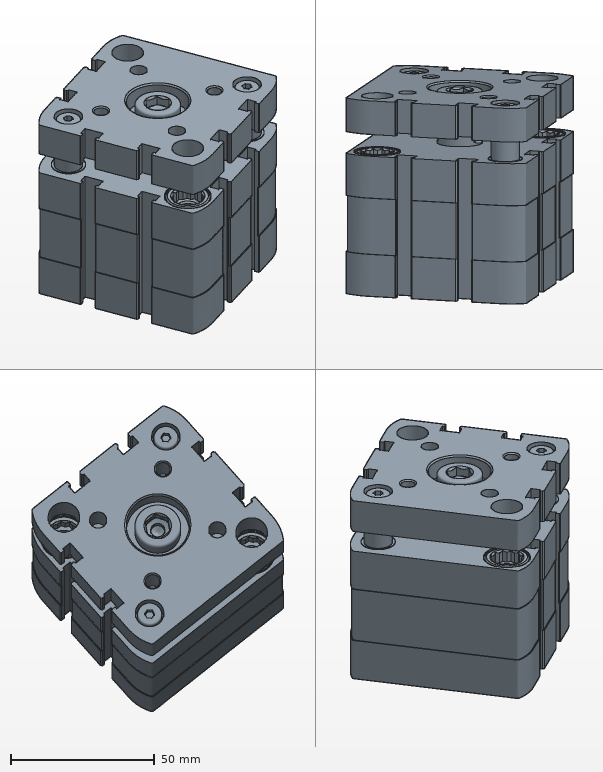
import cadquery as cq
import math


total_height = 69.7
housing_height = 50.0
cap_height = 15.0
plate_thickness = 12.0
plate_bottom = total_height - plate_thickness

half_width = 32.75
bulge_start = 23.3
bulge_radius = 17.4
corner_fillet = 1.0
barrel_inset = 0.35

slot_offset = 11.1
slot_opening = 5.3
slot_cavity_width = 7.0
slot_depth = 5.0
lip_thickness = 1.75
inner_lip_chamfer = 0.5
outer_lip_chamfer = 0.3

corner_offset = 23.3
guide_corners = [(-corner_offset, -corner_offset), (corner_offset, corner_offset)]
screw_corners = [(-corner_offset, corner_offset), (corner_offset, -corner_offset)]

rod_diameter = 16.0
rod_bottom = cap_height
wrench_flat_width = 12.95
wrench_flat_bottom = 51.2
wrench_flat_slope = 30.0
head_top = total_height - 1.0
head_fillet = 0.9
socket_width = 8.0
socket_depth = 3.6
socket_rim_diameter = 9.55
socket_cone_diameter = 8.6
socket_cone_depth = 0.85
pilot_diameter = 4.95
pilot_depth = 2.1
drill_tip_angle = 120.0

bore_diameter = 22.0
bore_depth = 7.0
bore_chamfer = 0.55
access_hole_diameter = 11.0
mount_offset = 14.8
dowel_diameter = 6.0
thread_diameter = 5.0
thread_chamfer = (dowel_diameter - thread_diameter) / 2

guide_diameter = 10.0
guide_bottom = cap_height
counterbore_depth = 5.6
guide_head_diameter = 8.5
guide_head_fillet = 0.6
guide_head_drop = 0.8
guide_socket_width = 3.0
guide_socket_depth = 2.1
guide_socket_turn = -45.0

wiper_diameter = 12.0
wiper_depth = 0.2
ring_outer_diameter = 16.4
ring_inner_diameter = 15.5
ring_chamfer = 0.55
double_hex_width = 10.0
double_hex_depth = 4.6
socket_mouth_diameter = 12.0
socket_mouth_depth = 0.7
through_diameter = 6.6
through_chamfer = 0.6


def cylinder(diameter, bottom, top, places=((0, 0),)):
    """Upright cylinders between two levels at the given places."""
    plane = cq.Workplane("XY").workplane(offset=bottom)
    return plane.pushPoints(places).circle(diameter / 2).extrude(top - bottom)


def cone(bottom_diameter, top_diameter, bottom, top, places=((0, 0),)):
    """Upright truncated cones between two levels at the given places."""
    frustum = cq.Solid.makeCone(bottom_diameter / 2, top_diameter / 2, top - bottom)
    cones = [frustum.moved(cq.Location(cq.Vector(x, y, bottom))) for x, y in places]
    return cq.Workplane("XY").newObject(cones).combine()


def hex_prism(width, bottom, top, turn=0.0, place=(0, 0)):
    """Upright hexagonal prism of the given width across flats, with a corner on +X before turning."""
    prism = cq.Workplane("XY").polygon(6, width / math.cos(math.pi / 6)).extrude(top - bottom)
    return prism.rotate((0, 0, 0), (0, 0, 1), turn).translate((place[0], place[1], bottom))


def outline():
    """Block cross-section before its corners are rounded, symmetric about both axes."""
    center_x = half_width - bulge_radius
    end_angle = math.asin((half_width - bulge_start) / bulge_radius)

    def arc_point(angle):
        return (center_x + bulge_radius * math.cos(angle), bulge_start + bulge_radius * math.sin(angle))

    mid_x, mid_y = arc_point(end_angle / 2)
    end_x, end_y = arc_point(end_angle)
    return (
        cq.Workplane("XY")
        .moveTo(half_width, -bulge_start)
        .lineTo(half_width, bulge_start)
        .threePointArc((mid_x, mid_y), (end_x, end_y))
        .lineTo(-end_x, end_y)
        .threePointArc((-mid_x, mid_y), (-half_width, bulge_start))
        .lineTo(-half_width, -bulge_start)
        .threePointArc((-mid_x, -mid_y), (-end_x, -end_y))
        .lineTo(end_x, -end_y)
        .threePointArc((mid_x, -mid_y), (half_width, -bulge_start))
        .close()
    )


def t_slots(face, bottom, top):
    """Cutters for the slot pairs in the -X, -Y and +X sides, whose faces lie at distance `face`."""
    opening_inner = slot_offset - slot_opening / 2
    opening_outer = slot_offset + slot_opening / 2
    cavity_inner = slot_offset - slot_cavity_width / 2
    cavity_outer = slot_offset + slot_cavity_width / 2
    lip_back = half_width - lip_thickness
    floor = half_width - slot_depth
    profile = [
        (opening_inner - inner_lip_chamfer, -face),
        (opening_inner, -face + inner_lip_chamfer),
        (opening_inner, -lip_back - inner_lip_chamfer),
        (opening_inner - inner_lip_chamfer, -lip_back),
        (cavity_inner, -lip_back),
        (cavity_inner, -floor),
        (cavity_outer, -floor),
        (cavity_outer, -lip_back),
        (opening_outer, -lip_back),
        (opening_outer, -face + outer_lip_chamfer),
        (opening_outer + outer_lip_chamfer, -face),
    ]
    slot = cq.Workplane("XY").workplane(offset=bottom).polyline(profile).close().extrude(top - bottom)
    pair = slot.union(slot.mirror("YZ"))
    cutters = pair
    for angle in (-90, 90):
        cutters = cutters.union(pair.rotate((0, 0, 0), (0, 0, 1), angle))
    return cutters


def slotted_block(bottom, top, inset=0.0):
    """Slotted block between two levels, its outline optionally stepped inward."""
    profile = outline()
    if inset:
        profile = profile.offset2D(-inset)
    block = profile.extrude(top - bottom).translate((0, 0, bottom))
    block = block.faces(">Y or <Y").edges("|Z").fillet(corner_fillet)
    return block.cut(t_slots(half_width - inset, bottom, top))


def cap_screw_cutter():
    """Ring groove, twelve-point socket and through hole of the housing screws."""
    top = housing_height
    groove_floor = top - ring_chamfer
    mouth_floor = top - socket_mouth_depth
    socket_floor = top - double_hex_depth
    ring_top_diameter = ring_inner_diameter - 2 * ring_chamfer
    mouth_floor_diameter = socket_mouth_diameter - 2 * socket_mouth_depth
    through_rim = through_diameter + 2 * through_chamfer

    chamfered_head = cone(ring_inner_diameter, ring_top_diameter, groove_floor, top, screw_corners)
    cutter = cylinder(ring_outer_diameter, groove_floor, top, screw_corners).cut(chamfered_head)
    for place in screw_corners:
        for turn in (0, 30):
            cutter = cutter.union(hex_prism(double_hex_width, socket_floor, top, turn, place))
    return (
        cutter.union(cone(mouth_floor_diameter, socket_mouth_diameter, mouth_floor, top, screw_corners))
        .union(cylinder(through_diameter, 0, socket_floor, screw_corners))
        .union(cone(through_diameter, through_rim, socket_floor - through_chamfer, socket_floor, screw_corners))
    )


def make_housing():
    """End caps and inset barrel, bored for the rod and the guide pins."""
    barrel_top = housing_height - cap_height
    return (
        slotted_block(0, cap_height)
        .union(slotted_block(cap_height, barrel_top, barrel_inset))
        .union(slotted_block(barrel_top, housing_height))
        .cut(cylinder(rod_diameter, rod_bottom, housing_height))
        .cut(cylinder(guide_diameter, guide_bottom, housing_height, guide_corners))
        .cut(cylinder(wiper_diameter, housing_height - wiper_depth, housing_height, guide_corners))
        .cut(cap_screw_cutter())
    )


def make_plate():
    """Yoke plate with its central counterbore, access holes and mounting holes."""
    top = total_height
    bore_rim = bore_diameter + 2 * bore_chamfer
    dowel_places = [(-mount_offset, mount_offset), (mount_offset, -mount_offset)]
    thread_places = [(-mount_offset, -mount_offset), (mount_offset, mount_offset)]
    return (
        slotted_block(plate_bottom, top)
        .cut(cylinder(bore_diameter, top - bore_depth, top))
        .cut(cone(bore_diameter, bore_rim, top - bore_chamfer, top))
        .cut(cylinder(access_hole_diameter, plate_bottom, top, screw_corners))
        .cut(cylinder(dowel_diameter, plate_bottom, top, dowel_places))
        .cut(cylinder(thread_diameter, plate_bottom, top, thread_places))
        .cut(cone(thread_diameter, dowel_diameter, top - thread_chamfer, top, thread_places))
        .cut(cylinder(guide_diameter, top - counterbore_depth, top, guide_corners))
    )


def wrench_flats():
    """Cutters for the two wrench flats, each with a sloped run-out at its lower end."""
    flat = wrench_flat_width / 2
    radius = rod_diameter / 2
    drop = (radius - flat) * math.tan(math.radians(wrench_flat_slope))
    profile = [
        (flat, plate_bottom),
        (flat, wrench_flat_bottom),
        (radius, wrench_flat_bottom - drop),
        (radius, plate_bottom),
    ]
    cutter = cq.Workplane("YZ").polyline(profile).close().extrude(radius, both=True)
    return cutter.union(cutter.mirror("XZ"))


def rod_socket():
    """Hexagon socket with a chamfered rim, a conical floor and a pilot hole."""
    rim_depth = (socket_rim_diameter - socket_width) / 2
    socket_floor = head_top - socket_depth
    cone_bottom = socket_floor - socket_cone_depth
    pilot_bottom = cone_bottom - pilot_depth
    tip = pilot_bottom - pilot_diameter / 2 / math.tan(math.radians(drill_tip_angle / 2))
    return (
        hex_prism(socket_width, socket_floor, head_top)
        .union(cone(socket_width, socket_rim_diameter, head_top - rim_depth, head_top))
        .union(cone(pilot_diameter, socket_cone_diameter, cone_bottom, socket_floor))
        .union(cylinder(pilot_diameter, pilot_bottom, cone_bottom))
        .union(cone(0, pilot_diameter, tip, pilot_bottom))
    )


def make_rod():
    """Piston rod ending in the rounded head of its cap screw."""
    rod = cylinder(rod_diameter, rod_bottom, head_top).faces(">Z").edges().fillet(head_fillet)
    return rod.cut(wrench_flats()).cut(rod_socket())


def make_guide(place):
    """Guide pin carrying the screw head that sits in the plate counterbore."""
    seat = total_height - counterbore_depth
    top = total_height - guide_head_drop
    pin = cylinder(guide_diameter, guide_bottom, seat, [place])
    head = cylinder(guide_head_diameter, seat, top, [place]).faces(">Z").edges().fillet(guide_head_fillet)
    socket = hex_prism(guide_socket_width, top - guide_socket_depth, top, guide_socket_turn, place)
    return pin.union(head.cut(socket))


def make_moving_unit():
    """Plate, rod and guide pins joined into one rigid body."""
    unit = make_plate().cut(cylinder(rod_diameter, plate_bottom, total_height)).union(make_rod())
    for place in guide_corners:
        unit = unit.union(make_guide(place))
    return unit


housing = make_housing()
moving_unit = make_moving_unit()

result = cq.Compound.makeCompound([housing.solids().val(), moving_unit.solids().val()])